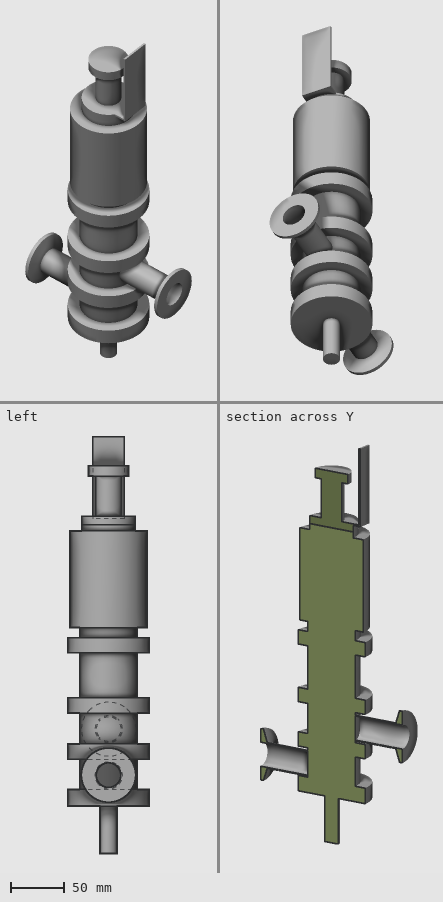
import cadquery as cq

column_diameter = 54.0
drain_diameter = 16.0
flange_diameter = 76.0
base_flange_bottom = 44.3
base_flange_height = 15.5
clamp_height = 14.5
clamp_bottoms = [88.0, 131.0, 187.0]

actuator_diameter = 72.0
actuator_bottom = 210.5
actuator_top = 300.7
collar_diameter = 50.0
collar_split = 306.5
collar_top = 314.5

port_reach = 80.0
tube_diameter = 25.3
bore_diameter = 23.0
ferrule_diameter = 50.5
ferrule_rim = 3.5
ferrule_length = 7.8
left_port_height = 73.0
right_port_height = 116.0

rod_diameter = 24.0
knob_diameter = 37.5
knob_bottom = 351.5
knob_top = 361.5
bracket_reach = 32.5
bracket_width = 29.5
bracket_thickness = 2.0
overall_height = 388.5


def upright_cylinder(diameter, bottom, top):
    """Cylinder on the Z axis between two heights."""
    return cq.Workplane("XY").workplane(offset=bottom).circle(diameter / 2).extrude(top - bottom)


def port_tube(height):
    """Tube with a tapered ferrule, pointing along +X from the column axis."""
    taper_start = port_reach - ferrule_length
    rim_start = port_reach - ferrule_rim
    profile = [
        (0, 0),
        (0, tube_diameter / 2),
        (taper_start, tube_diameter / 2),
        (rim_start, ferrule_diameter / 2),
        (port_reach, ferrule_diameter / 2),
        (port_reach, 0),
    ]
    tube = cq.Workplane("XZ").polyline(profile).close().revolve(360, (0, 0, 0), (1, 0, 0))
    bore = cq.Workplane("YZ").circle(bore_diameter / 2).extrude(port_reach)
    return tube.cut(bore).translate((0, 0, height))


def make_valve():
    """Column with flanges, side ports, drain pin and actuator."""
    valve = upright_cylinder(drain_diameter, 0, base_flange_bottom)

    right_port = port_tube(right_port_height)
    left_port = port_tube(left_port_height).rotate((0, 0, 0), (0, 0, 1), 180)
    valve = valve.union(upright_cylinder(column_diameter, base_flange_bottom, actuator_bottom))
    valve = valve.union(right_port).union(left_port)

    base_flange_top = base_flange_bottom + base_flange_height
    valve = valve.union(upright_cylinder(flange_diameter, base_flange_bottom, base_flange_top))
    for bottom in clamp_bottoms:
        valve = valve.union(upright_cylinder(flange_diameter, bottom, bottom + clamp_height))

    valve = valve.union(upright_cylinder(actuator_diameter, actuator_bottom, actuator_top))
    return valve.union(upright_cylinder(collar_diameter, actuator_top, collar_split))


def make_bracket():
    """L-shaped strip: a foot flush with the collar top and an upright plate."""
    foot_bottom = collar_top - bracket_thickness
    plate_inner = bracket_reach - bracket_thickness
    outline = [
        (0, foot_bottom),
        (bracket_reach, foot_bottom),
        (bracket_reach, overall_height),
        (plate_inner, overall_height),
        (plate_inner, collar_top),
        (0, collar_top),
    ]
    return cq.Workplane("XZ").polyline(outline).close().extrude(bracket_width / 2, both=True)


def make_cap():
    """Upper collar carrying the rod, knob and bracket."""
    cap = upright_cylinder(collar_diameter, collar_split, collar_top)
    cap = cap.union(upright_cylinder(rod_diameter, collar_top, knob_bottom))
    cap = cap.union(upright_cylinder(knob_diameter, knob_bottom, knob_top))
    return cap.union(make_bracket())


valve = make_valve()
cap = make_cap()
result = cq.Compound.makeCompound([valve.val(), cap.val()])